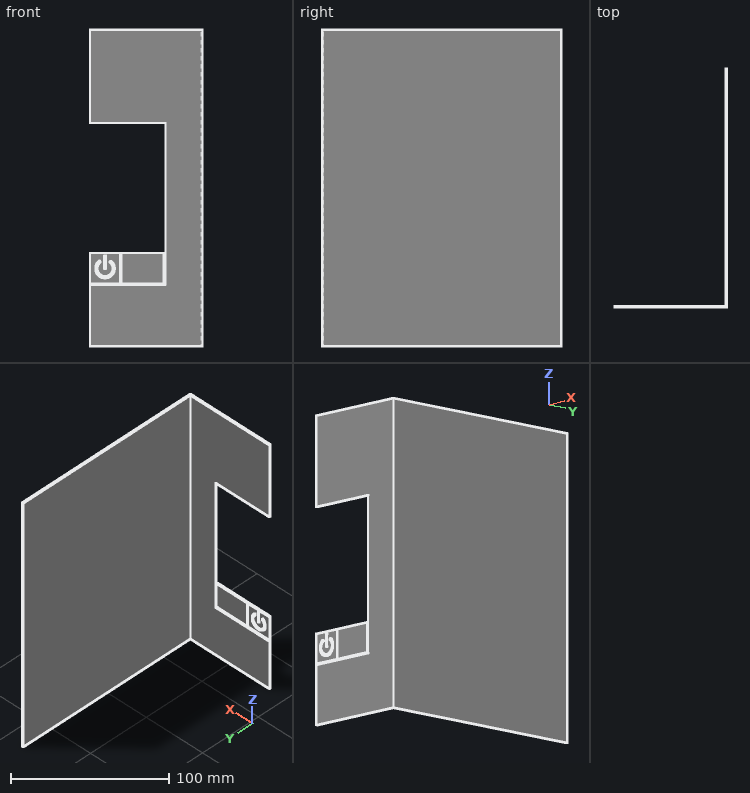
import cadquery as cq
import math

WIDTH = 71.0
DEPTH = 151.0
HEIGHT = 200.0
SHEET = 1.0

WINDOW_WIDTH = 47.5
WINDOW_BOTTOM = 39.0
WINDOW_TOP = 141.0

GAP = 0.5
INSERT_TOP = 59.0
BUTTON_WIDTH = 19.0
INSERT_BOTTOM = WINDOW_BOTTOM + GAP
INSERT_HEIGHT = INSERT_TOP - INSERT_BOTTOM
PANEL_LEFT = BUTTON_WIDTH + GAP
PANEL_WIDTH = 27.0

SLOT_WIDTH = 1.0
RING_OUTER_RADIUS = 6.0
RING_INNER_RADIUS = RING_OUTER_RADIUS - SLOT_WIDTH
RING_OPENING_HALF_ANGLE = math.radians(36)
BAR_TOP_MARGIN = 1.5
RING_X = BUTTON_WIDTH / 2
RING_Z = 49.2


def front_block(left, bottom, width, height):
    """Rectangular piece of the front sheet, one sheet thick."""
    return cq.Workplane("XY").box(width, SHEET, height, centered=False).translate((left, 0, bottom))


def make_cover():
    front = front_block(0, 0, WIDTH, HEIGHT)
    side = cq.Workplane("XY").box(SHEET, DEPTH, HEIGHT, centered=False).translate((WIDTH - SHEET, 0, 0))
    window = front_block(0, WINDOW_BOTTOM, WINDOW_WIDTH, WINDOW_TOP - WINDOW_BOTTOM)
    return front.union(side).cut(window)


def ring_slot():
    """Circular slot, open at its top."""
    def ring_point(radius, side):
        x = RING_X + side * radius * math.sin(RING_OPENING_HALF_ANGLE)
        z = RING_Z + radius * math.cos(RING_OPENING_HALF_ANGLE)
        return (x, z)

    return (
        cq.Workplane("XZ")
        .moveTo(*ring_point(RING_OUTER_RADIUS, -1))
        .threePointArc((RING_X, RING_Z - RING_OUTER_RADIUS), ring_point(RING_OUTER_RADIUS, 1))
        .lineTo(*ring_point(RING_INNER_RADIUS, 1))
        .threePointArc((RING_X, RING_Z - RING_INNER_RADIUS), ring_point(RING_INNER_RADIUS, -1))
        .close()
        .extrude(-SHEET)
    )


def make_button():
    plate = front_block(0, INSERT_BOTTOM, BUTTON_WIDTH, INSERT_HEIGHT)
    bar_height = INSERT_TOP - BAR_TOP_MARGIN - RING_Z
    bar_slot = front_block(RING_X - SLOT_WIDTH / 2, RING_Z, SLOT_WIDTH, bar_height)
    return plate.cut(ring_slot()).cut(bar_slot)


def make_panel():
    return front_block(PANEL_LEFT, INSERT_BOTTOM, PANEL_WIDTH, INSERT_HEIGHT)


cover = make_cover()
button = make_button()
panel = make_panel()

result = cq.Compound.makeCompound([cover.val(), button.val(), panel.val()])